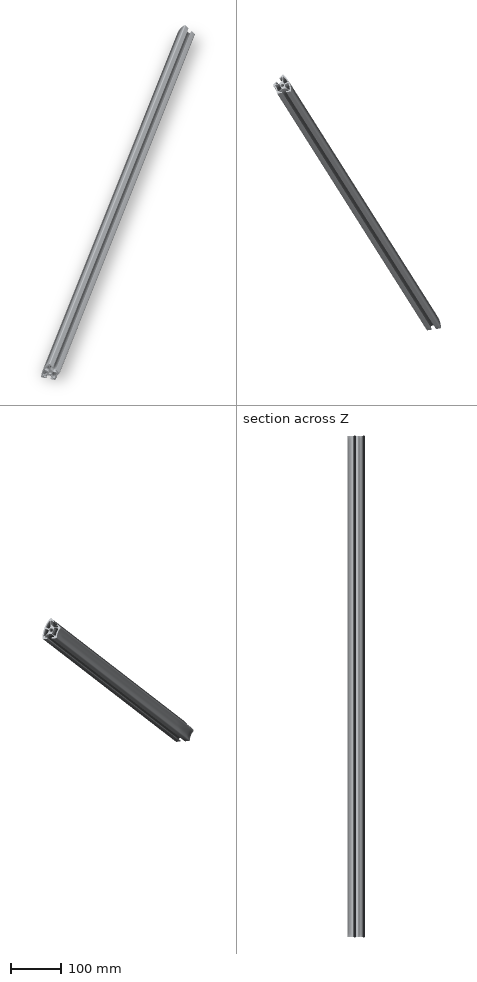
import cadquery as cq
import math

LENGTH = 1000.0
BEND_ANGLE = 45.0
FACE_WIDTH = 30.0
INNER_RADIUS = 30.0
OUTER_RADIUS = INNER_RADIUS + FACE_WIDTH
CORNER_RADIUS = 2.0

WALL = 2.5
RIB = 1.0
RIB_FOOT_INSET = 0.75
CORNER_BLOCK = 5.5
MIDDLE_RIB = 3.0

SLOT_OPENING = 9.1
SLOT_DEPTH = 9.0
LIP_THICKNESS = 2.5

HUB_WIDTH = 9.0
BORE_DIAMETER = 7.0

HALF_ANGLE = math.radians(BEND_ANGLE / 2)
MEAN_RADIUS = (INNER_RADIUS + OUTER_RADIUS) / 2
SLOT_X = FACE_WIDTH / 2
HUB_X = OUTER_RADIUS - MEAN_RADIUS * math.cos(HALF_ANGLE)
HUB_Z = MEAN_RADIUS * math.sin(HALF_ANGLE)


def section():
    """Sketch plane of the cross-section, with X across and Z up."""
    return cq.Workplane("XZ")


def on_bend(radius, angle):
    """Point at a radius from the bend axis, at an angle up from the lower face."""
    return (OUTER_RADIUS - radius * math.cos(angle), radius * math.sin(angle))


def sector(inner_radius, outer_radius):
    """Ring sector about the bend axis, covering the whole bend angle."""
    return (
        section()
        .moveTo(*on_bend(outer_radius, 0))
        .threePointArc(on_bend(outer_radius, HALF_ANGLE), on_bend(outer_radius, 2 * HALF_ANGLE))
        .lineTo(*on_bend(inner_radius, 2 * HALF_ANGLE))
        .threePointArc(on_bend(inner_radius, HALF_ANGLE), on_bend(inner_radius, 0))
        .close()
        .extrude(-LENGTH)
    )


def bar(start, end, thickness):
    """Straight rib of the given thickness between two points of the section."""
    run = end[0] - start[0]
    rise = end[1] - start[1]
    return (
        section()
        .center((start[0] + end[0]) / 2, (start[1] + end[1]) / 2)
        .transformed(rotate=(0, 0, math.degrees(math.atan2(rise, run))))
        .rect(math.hypot(run, rise), thickness)
        .extrude(-LENGTH)
    )


def mirrored(shape):
    """Reflection across the plane halfway round the bend."""
    return shape.mirror("XY").rotate((OUTER_RADIUS, 0, 0), (OUTER_RADIUS, 1, 0), BEND_ANGLE)


def block(center_x, width, height):
    """Rectangular bar standing on the lower end face."""
    return section().center(center_x, height / 2).rect(width, height).extrude(-LENGTH)


def slot_side(side):
    """Lip, corner block and diagonal rib on one side of the lower slot."""
    lip_width = (FACE_WIDTH - SLOT_OPENING) / 2
    lip = block(SLOT_X + side * (FACE_WIDTH - lip_width) / 2, lip_width, LIP_THICKNESS)
    corner = block(SLOT_X + side * (FACE_WIDTH - CORNER_BLOCK) / 2, CORNER_BLOCK, CORNER_BLOCK)
    rib_reach = SLOT_X - RIB_FOOT_INSET
    rib = bar((SLOT_X + side * rib_reach, 0), (SLOT_X, rib_reach), RIB)
    return lip.union(corner).union(rib)


def hub_half():
    """Lower half of the hub, from the slot floor to the middle of the bend."""
    half_floor = SLOT_X - SLOT_DEPTH - RIB_FOOT_INSET - RIB / math.sqrt(2)
    run = HUB_WIDTH / 2 * math.cos(HALF_ANGLE)
    rise = HUB_WIDTH / 2 * math.sin(HALF_ANGLE)
    return (
        section()
        .polyline([
            (SLOT_X - half_floor, SLOT_DEPTH),
            (SLOT_X + half_floor, SLOT_DEPTH),
            (HUB_X + run, HUB_Z - rise),
            (HUB_X - run, HUB_Z + rise),
        ])
        .close()
        .extrude(-LENGTH)
    )


def slotted_end():
    """Everything that frames the lower slot, with its half of the hub."""
    return slot_side(-1).union(slot_side(1)).union(hub_half())


def middle_rib():
    """Radial rib from the hub to the outer wall, halfway round the bend."""
    return bar((HUB_X, HUB_Z), on_bend(OUTER_RADIUS - WALL / 2, HALF_ANGLE), MIDDLE_RIB)


def bore():
    """Round hole through the hub over the whole length."""
    return section().center(HUB_X, HUB_Z).circle(BORE_DIAMETER / 2).extrude(-LENGTH)


inner_wall = sector(INNER_RADIUS, INNER_RADIUS + WALL)
outer_wall = sector(OUTER_RADIUS - WALL, OUTER_RADIUS)
outline = sector(INNER_RADIUS, OUTER_RADIUS).edges("|Y").fillet(CORNER_RADIUS)

lower_end = slotted_end()
result = lower_end.union(mirrored(lower_end))
result = result.union(inner_wall).union(outer_wall).union(middle_rib())
result = result.intersect(outline).cut(bore()).clean()